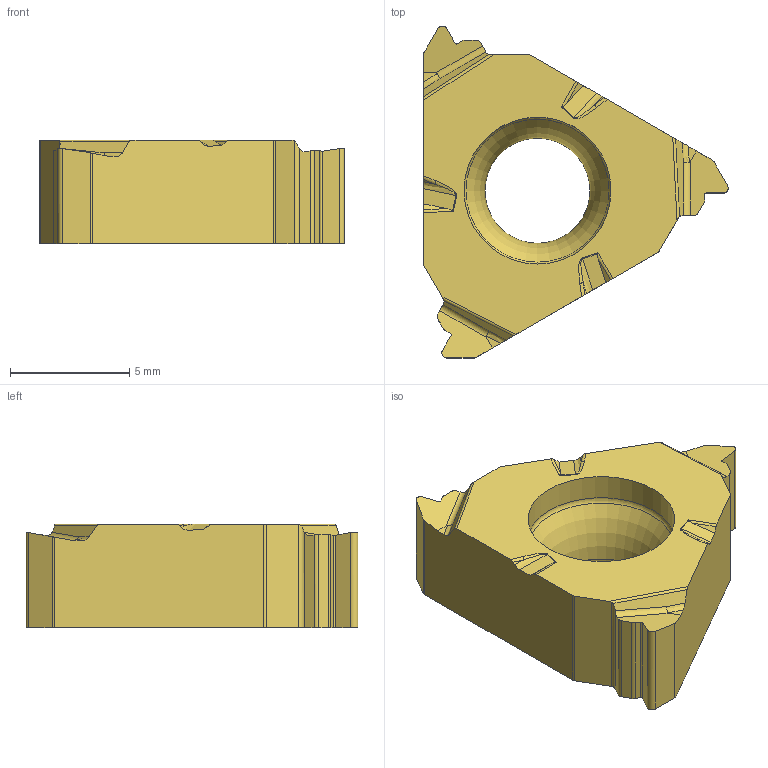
import cadquery as cq
import math


thickness = 4.34
edge_distance = 9.525 / 2
corners = 3
corner_step = 360 / corners

flank_distance = 7.0
flank_normal = 30
relief_distance = 5.68
relief_normal = -30
tooth_low_y = -0.1
step_x = 7.0
step_low_y = -0.47
heel_y = -1.03
heel_direction = 60
tip_round = 0.21
root_round = 0.065
heel_round = 0.2
step_round = 0.3
relief_round = 0.235
side_round = 0.2

rake_angle = 10
tip_drop = 0.352
tip_x = 7.9
tip_y = 0.1
wall_angle = 60
wall_run = 1 / math.tan(math.radians(wall_angle))
groove_root_x = 6.2
groove_round = 0.29
crest_round = 0.13
groove_flat_x = 6.41
groove_flat_y = 1.246
groove_reach = 4.0

notch_depth = 0.24
notch_length = 1.33
notch_floor_width = 0.62
notch_offset = 0.235
notch_turn = 12
notch_round = 0.4
notch_wall_angle = 45
notch_shallow_angle = 38
notch_crest_round = 0.2

hole_radius = 4.4 / 2
mouth_radius = 6.15 / 2
mouth_depth = 1.08
seat_round = 3.7
mouth_round = 0.36

block_half = 3.0
crest_margin = 0.5
edge_margin = 0.01
clearance = 1.0


def meet(normal_a, distance_a, normal_b, distance_b):
    """Point where two lines meet; each has a normal angle and a distance from the axis."""
    ax, ay = math.cos(math.radians(normal_a)), math.sin(math.radians(normal_a))
    bx, by = math.cos(math.radians(normal_b)), math.sin(math.radians(normal_b))
    det = ax * by - ay * bx
    x = (distance_a * by - distance_b * ay) / det
    y = (ax * distance_b - bx * distance_a) / det
    return x, y


def turn(point, angle):
    """Point turned about the origin by an angle in degrees."""
    c, s = math.cos(math.radians(angle)), math.sin(math.radians(angle))
    return point[0] * c - point[1] * s, point[0] * s + point[1] * c


def round_corner(before, corner, after, radius):
    """Start, middle and end of the arc that rounds a corner."""
    to_before = cq.Vector(before[0] - corner[0], before[1] - corner[1]).normalized()
    to_after = cq.Vector(after[0] - corner[0], after[1] - corner[1]).normalized()
    half = to_before.getAngle(to_after) / 2
    origin = cq.Vector(*corner)
    setback = radius / math.tan(half)
    centre_reach = radius / math.sin(half)
    bisector = (to_before + to_after).normalized()
    middle = origin + bisector * (centre_reach - radius)
    ends = [origin + side * setback for side in (to_before, to_after)]
    return [(p.x, p.y) for p in (ends[0], middle, ends[1])]


def rounded_outline(plane, vertices):
    """Closed outline from (point, radius) pairs; radius 0 leaves a sharp corner."""
    count = len(vertices)
    outline = None
    for i, (point, radius) in enumerate(vertices):
        if radius > 0:
            arc = round_corner(vertices[i - 1][0], point, vertices[(i + 1) % count][0], radius)
        else:
            arc = [point]
        outline = plane.moveTo(*arc[0]) if outline is None else outline.lineTo(*arc[0])
        if radius > 0:
            outline = outline.threePointArc(arc[1], arc[2])
    return outline.close()


def corner_vertices():
    """Vertices of the corner along +X, counterclockwise, with their rounding radii."""
    heel_x = step_x - (step_low_y - heel_y) / math.tan(math.radians(heel_direction))
    return [
        (meet(-60, edge_distance, relief_normal, relief_distance), side_round),
        (meet(relief_normal, relief_distance, 90, heel_y), relief_round),
        ((heel_x, heel_y), heel_round),
        ((step_x, step_low_y), step_round),
        ((step_x, tooth_low_y), root_round),
        (meet(90, tooth_low_y, flank_normal, flank_distance), tip_round),
        (meet(flank_normal, flank_distance, 60, edge_distance), side_round),
    ]


def make_body():
    vertices = []
    for i in range(corners):
        for point, radius in corner_vertices():
            vertices.append((turn(point, i * corner_step), radius))
    return rounded_outline(cq.Workplane("XY"), vertices).extrude(thickness)


def rake_height(x, y):
    """Height of the rake face, which falls away from the tooth along the long side."""
    along = (x - tip_x) * math.cos(math.radians(30)) - (y - tip_y) * math.sin(math.radians(30))
    return thickness - tip_drop + along * math.tan(math.radians(rake_angle))


def oblique_prism(section, direction):
    """Solid swept from a closed section along a straight direction."""
    face = cq.Face.makeFromWires(section.wire().val())
    return cq.Workplane(cq.Solid.extrudeLinear(face, cq.Vector(*direction)))


def round_crest(cutter, x, radius):
    """Cutter that also rounds the top-face edges whose middles lie near (x, 0).

    The edges are rounded on a plain block, and what the block loses is the new cutter.
    """
    block = (
        cq.Workplane("XY", origin=(x, 0, thickness - block_half))
        .box(2 * block_half, 2 * block_half, block_half, centered=(True, True, False))
    )
    near_edges = cq.selectors.BoxSelector(
        (x - crest_margin, -block_half / 2, thickness - edge_margin),
        (x + crest_margin, block_half / 2, thickness + edge_margin),
    )
    rounded_block = block.cut(cutter).edges(near_edges).fillet(radius)
    return block.cut(rounded_block)


def groove_prism(root, floor_slope, direction):
    """Cutter for a groove: a sloping wall with a rounded crest, a rounded root and a plane floor.

    root is where the unrounded wall meets the floor, as (x, z) at y = -groove_reach.
    direction is the run of the groove for one unit of y.
    """
    root_x, root_z = root
    wall_top = thickness + clearance
    far_x = root_x + groove_reach
    vertices = [
        ((root_x - (wall_top - root_z) * wall_run, wall_top), 0),
        (root, groove_round),
        ((far_x, root_z + floor_slope * groove_reach), 0),
        ((far_x, wall_top), 0),
    ]
    section = rounded_outline(cq.Workplane("XZ", origin=(0, -groove_reach, 0)), vertices)
    groove = oblique_prism(section, [2 * groove_reach * step for step in direction])

    crest_x = groove_root_x - (thickness - rake_height(groove_root_x, 0)) * wall_run
    return round_crest(groove, crest_x, crest_round)


def make_groove():
    """Chip groove of the corner along +X: the rake face, cut off by a level floor."""
    floor_slope = rake_height(1, 0) - rake_height(0, 0)
    rise = rake_height(0, 1) - rake_height(0, 0)
    raked_root = (groove_root_x, rake_height(groove_root_x, -groove_reach))
    raked = groove_prism(raked_root, floor_slope, (0, 1, rise))

    drift = rise * wall_run
    level_z = rake_height(groove_flat_x, groove_flat_y)
    root_lift = level_z - rake_height(groove_root_x, groove_flat_y)
    level_x = groove_root_x - root_lift * wall_run - drift * (groove_reach + groove_flat_y)
    level = groove_prism((level_x, level_z), 0, (drift, 1, 0))
    return raked.intersect(level)


def make_notch():
    """Notch in the long side at x = -edge_distance; its floor ramps up to the top face."""
    ramp = notch_depth / notch_length
    axis_x, axis_y = turn((1, 0), -notch_turn)
    origin = (
        -edge_distance - clearance * axis_x,
        -notch_offset - clearance * axis_y,
        thickness - notch_depth - clearance * ramp,
    )
    across_x, across_y = turn((0, 1), -notch_turn)
    plane = cq.Workplane(cq.Plane(origin, xDir=(across_x, across_y, 0), normal=(axis_x, axis_y, 0)))
    half_width = notch_floor_width / 2
    wall = math.radians(notch_wall_angle)
    top = notch_depth + clearance
    foot = half_width + notch_round * math.tan(wall / 2)
    vertices = [
        ((-half_width, 0), 0),
        ((foot, 0), notch_round),
        ((foot + top / math.tan(wall), top), 0),
        ((-half_width - top / math.tan(math.radians(notch_shallow_angle)), top), 0),
    ]
    sweep = notch_length + 2 * clearance
    section = rounded_outline(plane, vertices)
    notch = oblique_prism(section, (sweep * axis_x, sweep * axis_y, sweep * ramp))
    return round_crest(notch, -edge_distance, notch_crest_round)


def make_hole():
    """Screw hole: straight mouth, concave round, convex conical seat and straight bore."""
    narrowing = mouth_radius - hole_radius
    slope = math.acos(1 - narrowing / (seat_round + mouth_round))
    mouth_end = thickness - mouth_depth
    join_r = mouth_radius - mouth_round * (1 - math.cos(slope))
    join_z = mouth_end - mouth_round * math.sin(slope)
    seat_end = join_z - seat_round * math.sin(slope)
    round_mid_r = mouth_radius - mouth_round * (1 - math.cos(slope / 2))
    round_mid_z = mouth_end - mouth_round * math.sin(slope / 2)
    seat_mid_r = hole_radius + seat_round * (1 - math.cos(slope / 2))
    seat_mid_z = seat_end + seat_round * math.sin(slope / 2)
    profile = (
        cq.Workplane("XZ")
        .moveTo(0, -clearance)
        .lineTo(hole_radius, -clearance)
        .lineTo(hole_radius, seat_end)
        .threePointArc((seat_mid_r, seat_mid_z), (join_r, join_z))
        .threePointArc((round_mid_r, round_mid_z), (mouth_radius, mouth_end))
        .lineTo(mouth_radius, thickness + clearance)
        .lineTo(0, thickness + clearance)
        .close()
    )
    return profile.revolve(360, (0, 0, 0), (0, 1, 0))


part = make_body().cut(make_hole())
groove = make_groove()
notch = make_notch()
for i in range(corners):
    angle = i * corner_step
    part = part.cut(groove.rotate((0, 0, 0), (0, 0, 1), angle))
    part = part.cut(notch.rotate((0, 0, 0), (0, 0, 1), angle))
result = part